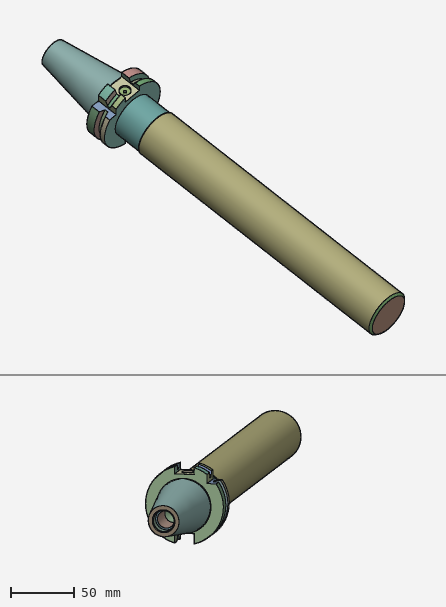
import cadquery as cq
import math

overall_length = 368.5
taper_end = 66.0
flange_front = 67.8
flange_back = 87.3
neck_end = 113.5

taper_small_radius = 12.5
taper_large_radius = 22.0
relief_radius = 21.5
flange_radius = 31.5
neck_radius = 19.5
body_radius = 20.3
end_chamfer = 2.0

groove_center = 79.2
groove_mouth = 6.5
groove_floor_width = 3.0
groove_depth = 3.5
groove_floor_radius = flange_radius - groove_depth

slot_width = 16.0
top_slot_floor = 25.0
bottom_slot_floor = 22.5
notch_corner = 18.5

recess_diameter = 9.5
recess_depth = 2.0
pin_hole_diameter = 2.5
pin_hole_depth = 4.5

mouth_radius = 9.2
lead_radius = 8.5
lead_depth = 8.0
bore_radius = 7.0
bore_depth = 32.0
drill_point_angle = 118.0


def revolve_about_x(points):
    """Revolve a closed (axial position, radius) outline about the X axis."""
    return cq.Workplane("XZ").polyline(points).close().revolve(360, (0, 0, 0), (1, 0, 0))


def turned_body():
    return revolve_about_x([
        (0, 0),
        (0, taper_small_radius),
        (taper_end, taper_large_radius),
        (taper_end, relief_radius),
        (flange_front, relief_radius),
        (flange_front, flange_radius),
        (groove_center - groove_mouth / 2, flange_radius),
        (groove_center - groove_floor_width / 2, groove_floor_radius),
        (groove_center + groove_floor_width / 2, groove_floor_radius),
        (groove_center + groove_mouth / 2, flange_radius),
        (flange_back, flange_radius),
        (flange_back, neck_radius),
        (neck_end, neck_radius),
        (neck_end, body_radius),
        (overall_length - end_chamfer, body_radius),
        (overall_length, body_radius - end_chamfer),
        (overall_length, 0),
    ])


def blind_bore():
    point_length = bore_radius / math.tan(math.radians(drill_point_angle / 2))
    mouth_depth = mouth_radius - lead_radius
    return revolve_about_x([
        (0, 0),
        (0, mouth_radius),
        (mouth_depth, lead_radius),
        (lead_depth, lead_radius),
        (lead_depth, bore_radius),
        (bore_depth, bore_radius),
        (bore_depth + point_length, 0),
    ])


def flange_cut(y_low, y_high, z_low, z_high):
    """Block spanning the flange thickness between the given Y and Z limits."""
    return cq.Workplane("XY").box(
        flange_back - flange_front, y_high - y_low, z_high - z_low, centered=False
    ).translate((flange_front, y_low, z_low))


def hole_in_top_slot(diameter, depth):
    return (
        cq.Workplane("XY", origin=(groove_center, 0, top_slot_floor))
        .circle(diameter / 2)
        .extrude(-depth)
    )


half_slot = slot_width / 2
top_slot = flange_cut(-half_slot, half_slot, top_slot_floor, flange_radius)
bottom_slot = flange_cut(-half_slot, half_slot, -flange_radius, -bottom_slot_floor)
orientation_notch = flange_cut(-flange_radius, -notch_corner, notch_corner, flange_radius)

result = (
    turned_body()
    .cut(blind_bore())
    .cut(top_slot)
    .cut(bottom_slot)
    .cut(orientation_notch)
    .cut(hole_in_top_slot(recess_diameter, recess_depth))
    .cut(hole_in_top_slot(pin_hole_diameter, pin_hole_depth))
)